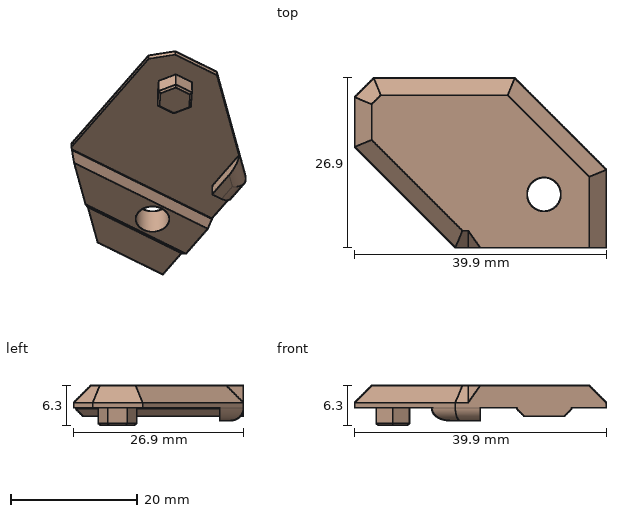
import cadquery as cq
import math

LENGTH = 39.9
WIDTH = 26.9
PLATE_HEIGHT = 3.55
BEVEL = 2.7
RIM_HEIGHT = PLATE_HEIGHT - BEVEL
FRONT_CORNER = 15.95
BACK_LEFT_CORNER = 3.05
BACK_RIGHT_CORNER = 14.52

NOTCH_END = 18.0
NOTCH_RUNOUT = 1.9

HOLE_DIAMETER = 5.3
HOLE_X = 30.0
HOLE_Y = 8.45

RIB_LEFT = 25.7
RIB_RIGHT = 34.4
RIB_DEPTH = 1.35
RIB_CHAMFER = 1.2

PEG_X = 6.05
PEG_Y = 19.95
PEG_FLATS = 5.3
PEG_DEPTH = 2.75
PEG_CHAMFER = 0.3

FOOT_RIGHT = 19.95
FOOT_WIDTH = 3.75
FOOT_DEPTH = 2.05


def plate_outline(front_y):
    """Plate outline, its left cut carried down to the given front edge."""
    return [
        (FRONT_CORNER - front_y, front_y),
        (LENGTH, front_y),
        (LENGTH, WIDTH - BACK_RIGHT_CORNER),
        (LENGTH - BACK_RIGHT_CORNER, WIDTH),
        (BACK_LEFT_CORNER, WIDTH),
        (0, WIDTH - BACK_LEFT_CORNER),
        (0, FRONT_CORNER),
    ]


def polyhedron(faces):
    """Solid bounded by flat faces, each given as a list of corner points."""
    sides = []
    for corners in faces:
        points = [cq.Vector(*corner) for corner in corners]
        sides.append(cq.Face.makeFromWires(cq.Wire.makePolygon(points, close=True)))
    return cq.Workplane(cq.Solid.makeSolid(cq.Shell.makeShell(sides)))


def make_plate():
    rim = cq.Workplane().polyline(plate_outline(0)).close().extrude(RIM_HEIGHT)
    overhang = 2 * BEVEL
    bevelled = (
        cq.Workplane()
        .workplane(offset=RIM_HEIGHT)
        .polyline(plate_outline(-overhang))
        .close()
        .extrude(BEVEL, taper=45)
    )
    keep = cq.Workplane().box(LENGTH, WIDTH, PLATE_HEIGHT, centered=False)
    return rim.union(bevelled.intersect(keep))


def make_notch():
    straight = (
        cq.Workplane("YZ")
        .polyline([(0, RIM_HEIGHT), (BEVEL, PLATE_HEIGHT), (0, PLATE_HEIGHT)])
        .close()
        .extrude(NOTCH_END)
    )
    low = (NOTCH_END, 0, RIM_HEIGHT)
    inner = (NOTCH_END, BEVEL, PLATE_HEIGHT)
    top = (NOTCH_END, 0, PLATE_HEIGHT)
    tip = (NOTCH_END + NOTCH_RUNOUT, 0, PLATE_HEIGHT)
    end = polyhedron([(low, inner, top), (low, top, tip), (low, tip, inner), (inner, tip, top)])
    return straight.union(end)


def make_rib():
    rib = (
        cq.Workplane()
        .box(RIB_RIGHT - RIB_LEFT, WIDTH, RIB_DEPTH, centered=False)
        .translate((RIB_LEFT, 0, -RIB_DEPTH))
        .edges("|Y and <Z")
        .chamfer(RIB_CHAMFER)
    )
    below_plate = cq.Workplane().polyline(plate_outline(0)).close().extrude(-RIB_DEPTH)
    return rib.intersect(below_plate)


def make_peg():
    across_corners = PEG_FLATS / math.cos(math.pi / 6)
    return (
        cq.Workplane()
        .polygon(6, across_corners)
        .extrude(-PEG_DEPTH)
        .faces("<Z")
        .chamfer(PEG_CHAMFER)
        .rotate((0, 0, 0), (0, 0, 1), 30)
        .translate((PEG_X, PEG_Y, 0))
    )


def make_foot():
    outline = [
        (FRONT_CORNER - FOOT_WIDTH, FOOT_WIDTH),
        (FRONT_CORNER, 0),
        (FOOT_RIGHT, 0),
        (FOOT_RIGHT, FOOT_WIDTH),
    ]
    foot = (
        cq.Workplane()
        .workplane(offset=RIM_HEIGHT)
        .polyline(outline)
        .close()
        .extrude(-RIM_HEIGHT - FOOT_DEPTH)
    )
    bottom = foot.faces("<Z")
    outer_edges = bottom.edges("<Y").add(bottom.edges("<X"))
    return outer_edges.fillet(FOOT_DEPTH)


result = make_plate().cut(make_notch()).union(make_rib()).union(make_peg()).union(make_foot())
hole = (
    cq.Workplane()
    .workplane(offset=-RIB_DEPTH)
    .center(HOLE_X, HOLE_Y)
    .circle(HOLE_DIAMETER / 2)
    .extrude(RIB_DEPTH + PLATE_HEIGHT)
)
result = result.cut(hole)